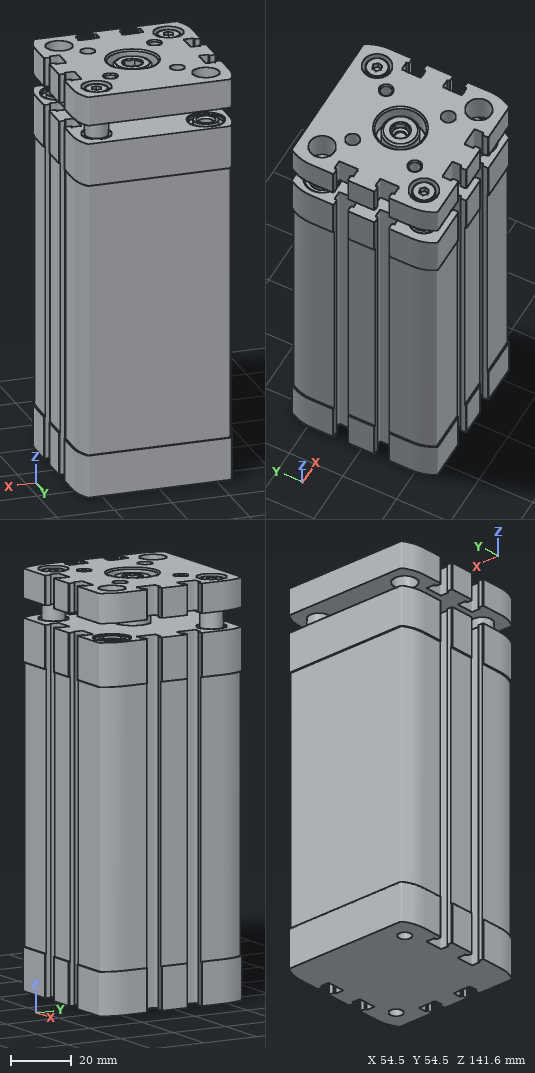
import cadquery as cq
import math

WIDTH = 54.5
TOTAL_HEIGHT = 141.6
PLATE_THICKNESS = 10.0
GAP = 6.5
HOUSING_HEIGHT = TOTAL_HEIGHT - PLATE_THICKNESS - GAP
PLATE_BOTTOM = HOUSING_HEIGHT + GAP

FLAT_HALF_SIDE = 18.8
CORNER_X = 24.8
EDGE_FILLET = 0.8

SLOT_OFFSET = 7.6
SLOT_OPENING = 5.2
SLOT_INNER_WIDTH = 7.1
SLOT_LIP = 2.4
SLOT_DEPTH = 5.7
SLOT_FILLET = 0.3

CAP_HEIGHT = 14.9
TUBE_INSET = 0.5

CORNER_OFFSET = 19.0
GUIDE_DIAMETER = 8.0
GUIDE_BUSH_DIAMETER = 10.0
GUIDE_BUSH_DEPTH = 0.3
ROD_BOTTOM = HOUSING_HEIGHT - CAP_HEIGHT
FIXING_ACCESS_DIAMETER = 9.0
FIXING_RECESS_DIAMETER = 11.9
FIXING_RECESS_CHAMFER = 0.4
FIXING_RECESS_DEPTH = 1.4
FIXING_COLLAR_DIAMETER = 8.5
FIXING_HOLE_DIAMETER = 5.0
FIXING_CHAMFER = 0.7

GUIDE_RECESS_DIAMETER = 10.0
GUIDE_END_BELOW_TOP = 0.5
GUIDE_END_CHAMFER = 0.3
GUIDE_HEX_ACROSS_FLATS = 3.0
GUIDE_HEX_DEPTH = 2.1
GUIDE_HEX_ANGLE = 15

PIN_OFFSET = 11.6
PIN_DIAMETER = 5.0
THREAD_DIAMETER = 4.0

ROD_DIAMETER = 12.0
ROD_FLATS = 10.0
ROD_FLAT_START = 1.8
ROD_RAMP_ANGLE = 30

RECESS_DIAMETER = 17.0
RECESS_CHAMFER = 0.5
RECESS_DEPTH = 7.1
ROD_END_DIAMETER = 12.7
ROD_END_CHAMFER = 0.7
ROD_END_BELOW_TOP = 1.1
RECESS_FLOOR = TOTAL_HEIGHT - RECESS_DEPTH
HEX_ACROSS_FLATS = 6.0
HEX_MOUTH_DIAMETER = 7.0
HEX_DEPTH = 2.5
HEX_FLOOR_DROP = 0.5
DRILL_DIAMETER = 4.1
DRILL_DEPTH = 0.7
DRILL_POINT_HALF_ANGLE = 59

GUIDE_POINTS = [(CORNER_OFFSET, CORNER_OFFSET), (-CORNER_OFFSET, -CORNER_OFFSET)]
FIXING_POINTS = [(-CORNER_OFFSET, CORNER_OFFSET), (CORNER_OFFSET, -CORNER_OFFSET)]
PIN_POINTS = [(-PIN_OFFSET, PIN_OFFSET), (PIN_OFFSET, -PIN_OFFSET)]
THREAD_POINTS = [(PIN_OFFSET, PIN_OFFSET), (-PIN_OFFSET, -PIN_OFFSET)]


def cylinder(diameter, bottom, top, points=((0, 0),)):
    """Upright cylinders between two heights at the given XY points."""
    base = cq.Workplane("XY", origin=(0, 0, bottom))
    return base.pushPoints(points).circle(diameter / 2).extrude(top - bottom)


def cone(lower_diameter, upper_diameter, bottom, top, points=((0, 0),)):
    """Upright truncated cones between two heights at the given XY points."""
    solid = cq.Solid.makeCone(lower_diameter / 2, upper_diameter / 2, top - bottom)
    return cq.Workplane("XY").pushPoints(points).eachpoint(
        lambda place: solid.translate(cq.Vector(0, 0, bottom)).moved(place), combine=False
    )


def hexagon(across_flats, bottom, top):
    """Upright hexagonal prism with two corners on the X axis."""
    corner_diameter = across_flats / math.cos(math.pi / 6)
    return cq.Workplane("XY", origin=(0, 0, bottom)).polygon(6, corner_diameter).extrude(top - bottom)


def profile_block(bottom, top, inset=0.0):
    """Block with the rounded square outline, moved in all round by the inset."""
    half = WIDTH / 2
    quarter = (
        cq.Workplane("XY", origin=(0, 0, bottom))
        .lineTo(half, 0)
        .lineTo(half, FLAT_HALF_SIDE)
        .tangentArcPoint((CORNER_X, half), relative=False)
        .lineTo(0, half)
        .close()
        .extrude(top - bottom)
    )
    corner = cq.selectors.NearestToPointSelector((CORNER_X, half, (bottom + top) / 2))
    quarter = quarter.edges(corner).fillet(EDGE_FILLET)
    side = quarter.union(quarter.mirror("YZ"))
    block = side.union(side.mirror("XZ")).clean()
    if inset:
        outline = block.faces("<Z").wires().val()
        base = cq.Workplane("XY", origin=(0, 0, bottom)).add(outline).toPending()
        block = base.offset2D(-inset).extrude(top - bottom)
    return block


def slot_bar(bottom, top):
    """T-slot cutter centred on X, open at y = 0, with rounded lips and floor corners."""
    mouth, inner, fillet = SLOT_OPENING / 2, SLOT_INNER_WIDTH / 2, SLOT_FILLET
    half = (
        cq.Workplane("XY", origin=(0, 0, bottom))
        .lineTo(mouth + fillet, 0)
        .radiusArc((mouth, fillet), -fillet)
        .lineTo(mouth, SLOT_LIP - fillet)
        .radiusArc((mouth + fillet, SLOT_LIP), -fillet)
        .lineTo(inner, SLOT_LIP)
        .lineTo(inner, SLOT_DEPTH - fillet)
        .radiusArc((inner - fillet, SLOT_DEPTH), -fillet)
        .lineTo(0, SLOT_DEPTH)
        .close()
        .extrude(top - bottom)
    )
    return half.union(half.mirror("YZ"))


def cut_slots(body, bottom, top):
    """Cut two T-slots into each of the -X, +X and -Y sides."""
    for angle in (-90, 0, 90):
        for offset in (-SLOT_OFFSET, SLOT_OFFSET):
            slot = slot_bar(bottom, top).translate((offset, -WIDTH / 2, 0))
            body = body.cut(slot.rotate((0, 0, 0), (0, 0, 1), angle))
    return body


def make_shell():
    """Slotted housing block with the tube between its end caps set slightly inwards."""
    shell = profile_block(0, HOUSING_HEIGHT)
    lower, upper = CAP_HEIGHT, HOUSING_HEIGHT - CAP_HEIGHT
    skin = profile_block(lower, upper).cut(profile_block(lower, upper, TUBE_INSET))
    return cut_slots(shell.cut(skin), 0, HOUSING_HEIGHT)


def cut_rod_holes(body):
    """Cut the holes for the piston rod and the guide rods, with shallow rings at the guides."""
    bush_floor = HOUSING_HEIGHT - GUIDE_BUSH_DEPTH
    body = body.cut(cylinder(ROD_DIAMETER, ROD_BOTTOM, HOUSING_HEIGHT))
    body = body.cut(cylinder(GUIDE_DIAMETER, ROD_BOTTOM, HOUSING_HEIGHT, GUIDE_POINTS))
    return body.cut(cylinder(GUIDE_BUSH_DIAMETER, bush_floor, HOUSING_HEIGHT, GUIDE_POINTS))


def cut_fixing_holes(body):
    """Cut the through holes, each in a collar that stands in a chamfered recess."""
    top = HOUSING_HEIGHT
    floor = top - FIXING_RECESS_DEPTH
    rim = FIXING_RECESS_DIAMETER + 2 * FIXING_RECESS_CHAMFER
    recesses = cylinder(FIXING_RECESS_DIAMETER, floor, top, FIXING_POINTS)
    rim_cones = cone(FIXING_RECESS_DIAMETER, rim, top - FIXING_RECESS_CHAMFER, top, FIXING_POINTS)
    recesses = recesses.union(rim_cones)
    body = body.cut(recesses.cut(cylinder(FIXING_COLLAR_DIAMETER, floor, top, FIXING_POINTS)))

    mouth = FIXING_HOLE_DIAMETER + 2 * FIXING_CHAMFER
    body = body.cut(cylinder(FIXING_HOLE_DIAMETER, 0, top, FIXING_POINTS))
    return body.cut(cone(FIXING_HOLE_DIAMETER, mouth, top - FIXING_CHAMFER, top, FIXING_POINTS))


def make_housing():
    """Fixed body: the slotted block with all its holes."""
    return cut_fixing_holes(cut_rod_holes(make_shell()))


def make_rod_flats():
    """Two cutters that leave the flats, each running out in a sloping ramp."""
    ramp_top = HOUSING_HEIGHT + ROD_FLAT_START
    flat, outer = ROD_FLATS / 2, ROD_DIAMETER
    ramp_bottom = ramp_top - (outer - flat) * math.tan(math.radians(ROD_RAMP_ANGLE))
    half = (
        cq.Workplane("YZ")
        .polyline([(flat, PLATE_BOTTOM), (flat, ramp_top), (outer, ramp_bottom), (outer, PLATE_BOTTOM)])
        .close()
        .extrude(ROD_DIAMETER / 2, both=True)
    )
    return half.union(half.mirror("XZ"))


def make_rod_end_socket(top):
    """Chamfered hexagon socket with a drilled hole in its conical floor."""
    chamfer = (HEX_MOUTH_DIAMETER - HEX_ACROSS_FLATS) / 2
    bottom = top - HEX_DEPTH
    drill_top = bottom - HEX_FLOOR_DROP
    drill_bottom = drill_top - DRILL_DEPTH
    tip = DRILL_DIAMETER / 2 / math.tan(math.radians(DRILL_POINT_HALF_ANGLE))
    return (
        hexagon(HEX_ACROSS_FLATS, bottom, top)
        .union(cone(HEX_ACROSS_FLATS, HEX_MOUTH_DIAMETER, top - chamfer, top))
        .union(cone(DRILL_DIAMETER, HEX_ACROSS_FLATS, drill_top, bottom))
        .union(cylinder(DRILL_DIAMETER, drill_bottom, drill_top))
        .union(cone(0, DRILL_DIAMETER, drill_bottom - tip, drill_bottom))
    )


def make_plate():
    """Slotted plate with its access, pin and thread holes."""
    plate = cut_slots(profile_block(PLATE_BOTTOM, TOTAL_HEIGHT), PLATE_BOTTOM, TOTAL_HEIGHT)
    for diameter, points in (
        (FIXING_ACCESS_DIAMETER, FIXING_POINTS),
        (PIN_DIAMETER, PIN_POINTS),
        (THREAD_DIAMETER, THREAD_POINTS),
    ):
        plate = plate.cut(cylinder(diameter, PLATE_BOTTOM, TOTAL_HEIGHT, points))
    sink = (PIN_DIAMETER - THREAD_DIAMETER) / 2
    return plate.cut(cone(THREAD_DIAMETER, PIN_DIAMETER, TOTAL_HEIGHT - sink, TOTAL_HEIGHT, THREAD_POINTS))


def add_rod_end(plate):
    """Form the central recess and the socketed rod end standing in it."""
    mouth = RECESS_DIAMETER + 2 * RECESS_CHAMFER
    plate = plate.cut(cylinder(RECESS_DIAMETER, RECESS_FLOOR, TOTAL_HEIGHT))
    plate = plate.cut(cone(RECESS_DIAMETER, mouth, TOTAL_HEIGHT - RECESS_CHAMFER, TOTAL_HEIGHT))
    end_top = TOTAL_HEIGHT - ROD_END_BELOW_TOP
    rod_end = cylinder(ROD_END_DIAMETER, RECESS_FLOOR, end_top).faces(">Z").chamfer(ROD_END_CHAMFER)
    return plate.union(rod_end).cut(make_rod_end_socket(end_top))


def add_guide_ends(plate):
    """Form the corner recesses and the guide rod ends, each with a hexagon socket."""
    end_top = TOTAL_HEIGHT - GUIDE_END_BELOW_TOP
    ends = cylinder(GUIDE_DIAMETER, RECESS_FLOOR, end_top, GUIDE_POINTS)
    ends = ends.faces(">Z").chamfer(GUIDE_END_CHAMFER)
    plate = plate.cut(cylinder(GUIDE_RECESS_DIAMETER, RECESS_FLOOR, TOTAL_HEIGHT, GUIDE_POINTS))
    plate = plate.union(ends)
    socket = hexagon(GUIDE_HEX_ACROSS_FLATS, end_top - GUIDE_HEX_DEPTH, end_top)
    socket = socket.rotate((0, 0, 0), (0, 0, 1), GUIDE_HEX_ANGLE)
    for x, y in GUIDE_POINTS:
        plate = plate.cut(socket.translate((x, y, 0)))
    return plate


def make_piston():
    """Moving body: the plate with the piston rod and the two guide rods."""
    plate = add_guide_ends(add_rod_end(make_plate()))
    rod = cylinder(ROD_DIAMETER, ROD_BOTTOM, PLATE_BOTTOM).cut(make_rod_flats())
    guides = cylinder(GUIDE_DIAMETER, ROD_BOTTOM, PLATE_BOTTOM, GUIDE_POINTS)
    return plate.union(rod).union(guides)


housing = make_housing()
piston = make_piston()
result = cq.Compound.makeCompound([housing.solids().val(), piston.solids().val()])